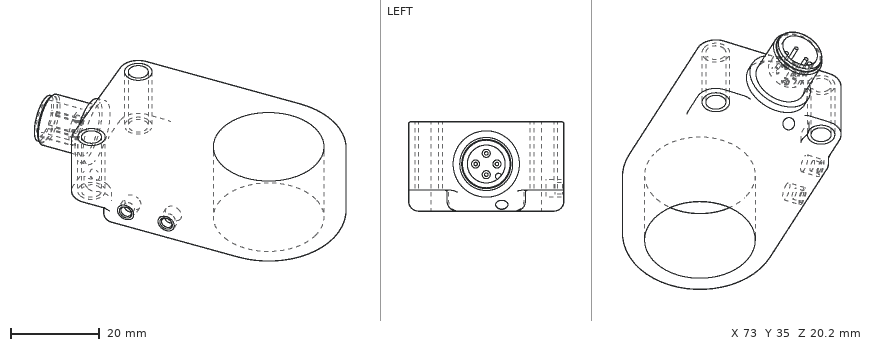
import cadquery as cq
import math

housing_width = 35.0
housing_height = 20.2
end_radius = housing_width / 2
overall_length = 73.0
housing_length = 60.0
housing_start = -(housing_length - end_radius)
corner_radius = 4.5
top_round = 0.5
bottom_round = 2.25
bore_diameter = 24.95

hole_x = housing_start + corner_radius
hole_y = end_radius - corner_radius
hole_sides = (-1, 1)
bushing_diameter = 6.2
bushing_bore = 4.5

notch_size = 11.0
notch_height = 4.75
notch_lip_radius = 2.3
notch_floor_round = 0.45

bevel_size = 2.6
bevel_edge_round = 0.6
lamp_diameter = 3.0
lamp_y = -3.5
lamp_inset = 1.5
lamp_z = 1.9

screw_positions = [housing_start + 14.95, housing_start + 24.95]
screw_z = 5.2
screw_diameter = 4.0
screw_length = 4.0
socket_mouth_diameter = 3.1
socket_diameter = 2.55
socket_bevel = 0.3
socket_depth = 2.05

plug_z = 10.65
flange_diameter = 14.95
flange_length = 2.0
shell_diameter = 12.0
shell_bevel = 0.45
nose_diameter = 10.7
nose_length = 0.9
plug_start = housing_start - (overall_length - housing_length)
socket_bore_diameter = 8.55
socket_bore_depth = 8.0
pin_diameter = 0.8
pin_length = 6.05
pin_offset = 2.4
pin_count = 4
pin_recess_diameter = 1.8
pin_recess_depth = 0.4
key_diameter = 1.4
key_offset = 2.8
key_length = 7.45


def x_cylinder(diameter, x_start, length, y=0.0, z=plug_z):
    """Cylinder along +X, starting at x_start."""
    plane = cq.Plane(origin=(x_start, y, z), xDir=(0, 1, 0), normal=(1, 0, 0))
    return cq.Workplane(plane).circle(diameter / 2).extrude(length)


def housing_block():
    """Housing outline with rounded corners at -X and a half round at +X."""
    block = (
        cq.Workplane("XY")
        .moveTo(0, -end_radius)
        .threePointArc((end_radius, 0), (0, end_radius))
        .lineTo(housing_start, end_radius)
        .lineTo(housing_start, -end_radius)
        .close()
        .extrude(housing_height)
    )
    return block.edges("|Z and <X").fillet(corner_radius)


def corner_notch(side):
    """Space below the bushing on one Y side: an arc around the hole, running smoothly into two rounded lips."""
    lip = notch_lip_radius
    hole = corner_radius
    far = notch_size
    centre_distance = math.hypot(far - hole, lip - hole)
    arc_radius = centre_distance - lip
    touch_far = hole + arc_radius * (far - hole) / centre_distance
    touch_near = hole + arc_radius * (lip - hole) / centre_distance
    arc_middle = hole + arc_radius * math.sqrt(0.5)
    notch = (
        cq.Workplane("XY")
        .moveTo(-far, -far)
        .lineTo(far, -far)
        .lineTo(far, 0)
        .threePointArc((far - lip, lip), (touch_far, touch_near))
        .threePointArc((arc_middle, arc_middle), (touch_near, touch_far))
        .threePointArc((lip, far - lip), (0, far))
        .lineTo(-far, far)
        .close()
        .extrude(notch_height)
    )
    wall_top = cq.selectors.BoxSelector((-0.7, -0.7, notch_height - 0.7), (far, far, notch_height + 0.7))
    notch = notch.edges(wall_top).fillet(notch_floor_round)
    if side > 0:
        notch = notch.mirror("XZ")
    return notch.translate((housing_start, side * end_radius, 0))


def bevel_cut():
    """Wedge removed along the lower -X edge, leaving a 45 degree face."""
    return (
        cq.Workplane("XZ", origin=(housing_start, 0, 0))
        .polyline([(0, bevel_size), (bevel_size, 0), (-bevel_size, -bevel_size)])
        .close()
        .extrude(end_radius, both=True)
    )


def make_shaped_housing():
    """Housing block with its notches, rounded edges and bevel."""
    shaped = housing_block()
    for side in hole_sides:
        shaped = shaped.cut(corner_notch(side))
    shaped = shaped.faces("<Z").edges().fillet(bottom_round)
    shaped = shaped.cut(bevel_cut())
    bevel_top = cq.selectors.BoxSelector(
        (housing_start - 0.1, -0.7, bevel_size - 0.1), (housing_start + 0.1, 0.7, bevel_size + 0.1)
    )
    shaped = shaped.edges(bevel_top).fillet(bevel_edge_round)
    return shaped.faces(">Z").edges().fillet(top_round)


def lamp():
    """Domed indicator lamp that stands out of the bevel."""
    centre = (housing_start + lamp_inset, lamp_y, lamp_z)
    return cq.Workplane("XY").sphere(lamp_diameter / 2).translate(centre)


def plug():
    """Round plug: flange, shell with a bevelled end, nose, pin socket, pins and key."""
    shell_start = plug_start + nose_length
    body = x_cylinder(shell_diameter, shell_start, housing_start - shell_start)
    body = body.faces("<X").chamfer(shell_bevel)
    body = body.union(x_cylinder(nose_diameter, plug_start, nose_length))
    body = body.union(x_cylinder(flange_diameter, housing_start - flange_length, flange_length))

    floor_x = plug_start + socket_bore_depth
    socket = x_cylinder(socket_bore_diameter, plug_start, socket_bore_depth)
    body = body.cut(socket)
    for number in range(pin_count):
        angle = math.radians(number * 360 / pin_count)
        y = pin_offset * math.cos(angle)
        z = plug_z + pin_offset * math.sin(angle)
        body = body.cut(x_cylinder(pin_recess_diameter, floor_x, pin_recess_depth, y, z))
        pin_total = pin_length + pin_recess_depth
        body = body.union(x_cylinder(pin_diameter, floor_x - pin_length, pin_total, y, z))

    key = x_cylinder(key_diameter, floor_x - key_length, key_length, -key_offset, plug_z - key_offset)
    return body.union(key.intersect(socket))


def screw_blank(x, diameter, depth):
    """Cylinder going into the -Y side of the housing at one screw position."""
    return (
        cq.Workplane("XZ", origin=(x, -end_radius, screw_z)).circle(diameter / 2).extrude(-depth)
    )


def hole_blank(side, diameter, z_start):
    """Vertical cylinder at one mounting hole, from z_start up to the top of the housing."""
    return (
        cq.Workplane("XY", origin=(hole_x, side * hole_y, z_start))
        .circle(diameter / 2)
        .extrude(housing_height - z_start)
    )


def make_housing():
    body = make_shaped_housing().cut(
        cq.Workplane("XY").circle(bore_diameter / 2).extrude(housing_height)
    )
    body = body.union(lamp()).union(plug())
    for side in hole_sides:
        body = body.cut(hole_blank(side, bushing_diameter, notch_height))
    for x in screw_positions:
        body = body.cut(screw_blank(x, screw_diameter, screw_length))
    return body


def make_bushing(side):
    outside = hole_blank(side, bushing_diameter, notch_height)
    return outside.cut(hole_blank(side, bushing_bore, notch_height))


def make_screw(x):
    socket = screw_blank(x, socket_diameter, socket_depth)
    mouth = (
        screw_blank(x, socket_mouth_diameter, socket_bevel)
        .faces(">Y")
        .chamfer(socket_bevel * 0.99, (socket_mouth_diameter - socket_diameter) / 2)
    )
    return screw_blank(x, screw_diameter, screw_length).cut(socket).cut(mouth)


housing = make_housing()
bushings = [make_bushing(side) for side in hole_sides]
adjusting_screws = [make_screw(x) for x in screw_positions]

result = cq.Compound.makeCompound(
    [housing.val(), *[b.val() for b in bushings], *[s.val() for s in adjusting_screws]]
)